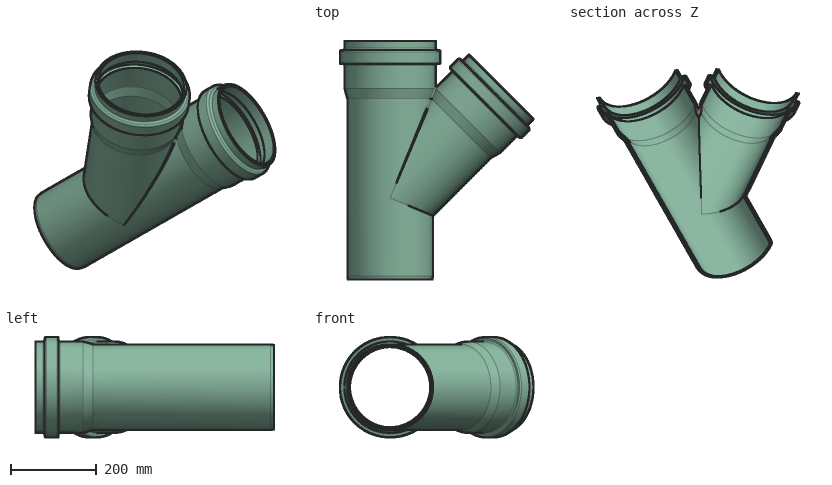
import cadquery as cq
import math

pipe_diameter = 200.2
bore_diameter = 187.2
chamfer_length = 8.0
chamfer_depth = 1.6

wall = 5.9
socket_bore = 201.5
groove_bore = 223.0

ring_front_depth = 21.8
ring_back_depth = 53.9
cone_front_depth = 110.9
cone_back_depth = 134.4
ring_front_fillet = 4.5
ring_back_fillet = 3.2

branch_angle = 45.0
spigot_length = 190.24
leg_length = 366.56
crotch_fillet = 2.0
plane_tolerance = 0.01

pipe_radius = pipe_diameter / 2
bore_radius = bore_diameter / 2
socket_radius = socket_bore / 2 + wall
ring_radius = groove_bore / 2 + wall


def revolve_about_y(profile):
    return profile.close().revolve(360, (0, 0, 0), (0, 1, 0))


def outer_socket():
    """Half outline of a socket's outside, from the axis at the mouth back to the pipe."""
    front = leg_length - ring_front_depth
    back = leg_length - ring_back_depth
    return (
        cq.Workplane("XY")
        .moveTo(0, leg_length)
        .lineTo(socket_radius, leg_length)
        .lineTo(socket_radius, front + ring_front_fillet)
        .tangentArcPoint((socket_radius + ring_front_fillet, front), relative=False)
        .lineTo(ring_radius - ring_front_fillet, front)
        .tangentArcPoint((ring_radius, front - ring_front_fillet), relative=False)
        .lineTo(ring_radius, back + ring_back_fillet)
        .tangentArcPoint((ring_radius - ring_back_fillet, back), relative=False)
        .lineTo(socket_radius + ring_back_fillet, back)
        .tangentArcPoint((socket_radius, back - ring_back_fillet), relative=False)
        .lineTo(socket_radius, leg_length - cone_front_depth)
        .lineTo(pipe_radius, leg_length - cone_back_depth)
    )


def run_body():
    """Solid straight leg, with a chamfered spigot at its far end."""
    profile = (
        outer_socket()
        .lineTo(pipe_radius, chamfer_length - spigot_length)
        .lineTo(pipe_radius - chamfer_depth, -spigot_length)
        .lineTo(0, -spigot_length)
    )
    return revolve_about_y(profile)


def branch_body():
    """Solid branch leg, along +Y."""
    return revolve_about_y(outer_socket().lineTo(pipe_radius, 0).lineTo(0, 0))


def bore(end):
    """Inside of a leg along +Y: socket with its ring groove, cone and pipe bore."""
    groove_front = leg_length - ring_front_depth - wall
    groove_back = leg_length - ring_back_depth + wall
    profile = (
        cq.Workplane("XY")
        .moveTo(0, leg_length)
        .lineTo(socket_bore / 2, leg_length)
        .lineTo(socket_bore / 2, groove_front)
        .lineTo(groove_bore / 2, groove_front)
        .lineTo(groove_bore / 2, groove_back)
        .lineTo(socket_bore / 2, groove_back)
        .lineTo(socket_bore / 2, leg_length - cone_front_depth)
        .lineTo(bore_radius, leg_length - cone_back_depth)
        .lineTo(bore_radius, end)
        .lineTo(0, end)
    )
    return revolve_about_y(profile)


def to_branch(body):
    return body.rotate((0, 0, 0), (0, 0, 1), -branch_angle)


def is_crotch_edge(edge):
    """True for an edge in the plane that halves the angle between the legs."""
    half_angle = math.radians(branch_angle / 2)
    normal = cq.Vector(math.cos(half_angle), -math.sin(half_angle), 0)
    points = [edge.startPoint(), edge.positionAt(0.5), edge.endPoint()]
    return all(abs(point.dot(normal)) < plane_tolerance for point in points)


outside = run_body().union(to_branch(branch_body()))
outside = outside.edges().filter(is_crotch_edge).fillet(crotch_fillet)
result = outside.cut(bore(-spigot_length)).cut(to_branch(bore(0)))